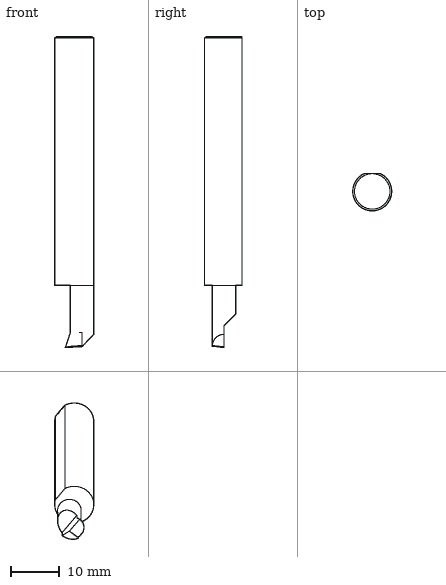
import cadquery as cq
import math

total_length = 63.5
shank_radius = 4.0
shank_flat_y = 3.7
top_chamfer_width = 0.4
top_chamfer_height = 0.25
shoulder_z = 12.7

neck_radius = 2.4
neck_x = shank_radius - neck_radius

head_top_z = 3.05
head_lean = 1.0
tip_x = neck_x - neck_radius - head_lean
head_back_y = -2.35
rake_bottom_z = 0.2
end_relief = 0.25
wedge_depth = 0.65
nose_start_z = 2.7
ramp_bottom_z = 4.45


def make_shank():
    """Round bar with a conical chamfer at its top and a flat on its +Y side."""
    chamfer_z = total_length - top_chamfer_height
    profile = [
        (0, shoulder_z),
        (shank_radius, shoulder_z),
        (shank_radius, chamfer_z),
        (shank_radius - top_chamfer_width, total_length),
        (0, total_length),
    ]
    bar = cq.Workplane("XZ").polyline(profile).close().revolve(360, (0, 0), (0, 1))
    flat_cut = (
        cq.Workplane("XY")
        .box(2 * shank_radius, shank_radius, total_length, centered=(True, False, False))
        .translate((0, shank_flat_y, 0))
    )
    return bar.cut(flat_cut)


def make_neck():
    """Eccentric neck, halved below a 45 degree runout and trimmed for the head."""
    neck = cq.Workplane("XY").center(neck_x, 0).circle(neck_radius).extrude(shoulder_z)

    ramp_profile = [
        (0, 0),
        (neck_radius, 0),
        (neck_radius, ramp_bottom_z + neck_radius),
        (0, ramp_bottom_z),
    ]
    ramp = (
        cq.Workplane("YZ", origin=(neck_x, 0, 0))
        .polyline(ramp_profile)
        .close()
        .extrude(neck_radius, both=True)
    )

    side_profile = [
        (neck_x - neck_radius, 0),
        (neck_x, 0),
        (neck_x, head_top_z),
        (neck_x - neck_radius, head_top_z),
    ]
    nose_profile = [
        (neck_x, 0),
        (shank_radius, 0),
        (shank_radius, nose_start_z),
        (neck_x, rake_bottom_z),
    ]
    neck = neck.cut(ramp)
    for profile in (side_profile, nose_profile):
        trim = cq.Workplane("XZ").polyline(profile).close().extrude(neck_radius, both=True)
        neck = neck.cut(trim)
    return neck


def head_section(plan, shift):
    """Head cross-section: a neck arc moved by shift in X, closed by the flat back."""
    half_chord = math.sqrt(neck_radius**2 - head_back_y**2)
    mid_angle = math.pi + math.asin(-head_back_y / neck_radius) / 2
    arc_middle = (
        neck_x + shift + neck_radius * math.cos(mid_angle),
        neck_radius * math.sin(mid_angle),
    )
    return (
        plan.moveTo(neck_x + shift - neck_radius, 0)
        .threePointArc(arc_middle, (neck_x + shift - half_chord, head_back_y))
        .lineTo(neck_x, head_back_y)
        .lineTo(neck_x, 0)
        .close()
    )


def end_relief_profile(plan, lift):
    """Wedge below the head's end face, raised by lift."""
    return plan.polyline([
        (tip_x, -wedge_depth),
        (neck_x, -wedge_depth),
        (neck_x, rake_bottom_z + lift),
        (tip_x, lift),
    ]).close()


def make_head():
    """Cutting head whose round flank leans from the neck out to the tip."""
    foot = head_section(cq.Workplane("XY"), -head_lean)
    head = head_section(foot.workplane(offset=head_top_z), 0).loft(ruled=True)
    relief_front = end_relief_profile(cq.Workplane("XZ"), 0)
    relief_back = end_relief_profile(relief_front.workplane(offset=neck_radius), end_relief)
    return head.cut(relief_back.loft(ruled=True))


result = make_shank().union(make_neck()).union(make_head())